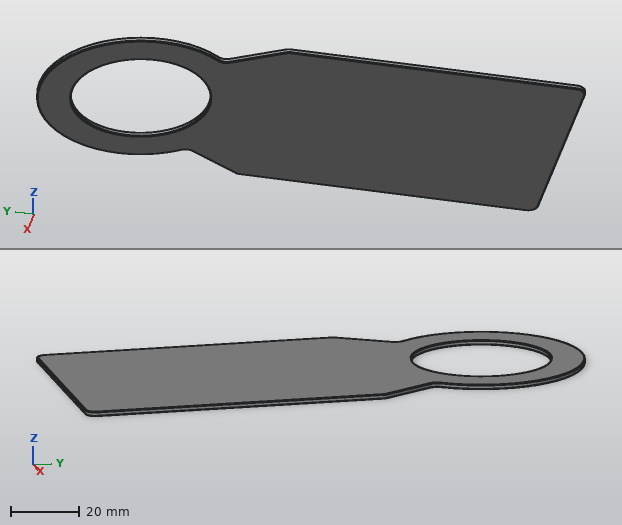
import cadquery as cq
import math

thickness = 1.5
body_width = 67.0
total_length = 157.26
shoulder_height = 90.0
shoulder_angle = 60.0
ring_diameter = 61.0
hole_diameter = 41.0
corner_radius = 3.0
edge_chamfer = 0.3

half_width = body_width / 2
ring_radius = ring_diameter / 2
bottom_y = ring_radius - total_length
shoulder_y = bottom_y + shoulder_height


def neck_corner():
    """Point on the right side where the sloping shoulder meets the ring."""
    slope = math.radians(shoulder_angle)
    apex_y = shoulder_y + half_width * math.tan(slope)
    line_distance = apex_y * math.cos(slope)
    along_line = math.sqrt(ring_radius**2 - line_distance**2)
    x = line_distance * math.sin(slope) + along_line * math.cos(slope)
    y = line_distance * math.cos(slope) - along_line * math.sin(slope)
    return x, y


def tag_plate():
    """Flat body with tapered shoulders running into the round ring, all corners rounded."""
    neck_x, neck_y = neck_corner()
    return (
        cq.Workplane("XY")
        .moveTo(-half_width, bottom_y)
        .lineTo(half_width, bottom_y)
        .lineTo(half_width, shoulder_y)
        .lineTo(neck_x, neck_y)
        .threePointArc((0, ring_radius), (-neck_x, neck_y))
        .lineTo(-half_width, shoulder_y)
        .close()
        .extrude(thickness)
        .edges("|Z")
        .fillet(corner_radius)
    )


def hanging_hole():
    """Round cutter through the ring."""
    return cq.Workplane("XY").circle(hole_diameter / 2).extrude(thickness)


tag = tag_plate().cut(hanging_hole())
result = tag.faces("|Z").edges().chamfer(edge_chamfer)